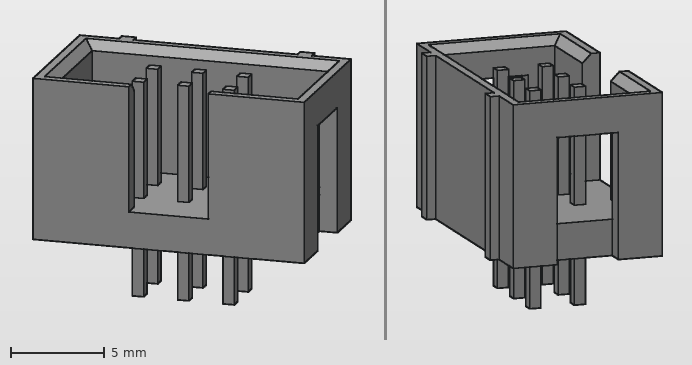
import cadquery as cq


length = 15.2
width = 8.5
height = 9.0
wall = 1.0
floor_thickness = 2.0
rim_chamfer = wall / 2

key_notch_width = 4.45
side_slot_width = 3.5
side_slot_height = 6.99

rib_width = 0.8
rib_depth = 0.5
rib_spacing = 10.0

pin_size = 0.64
pin_pitch = 2.54
pin_columns = 3
pin_rows = 2
pin_tail = 3.5
pin_top = height - rim_chamfer


def block(size_x, size_y, bottom, top, x=0, y=0):
    """Box centred on (x, y), spanning bottom to top in Z."""
    return (
        cq.Workplane("XY")
        .box(size_x, size_y, top - bottom, centered=(True, True, False))
        .translate((x, y, bottom))
    )


def make_housing():
    """Open box with a bevelled inner rim, key notch and end slots."""
    cavity_length = length - 2 * wall
    cavity_width = width - 2 * wall
    cavity = block(cavity_length, cavity_width, floor_thickness, height)
    rim_bevel = (
        cq.Workplane("XY", origin=(0, 0, height - rim_chamfer))
        .rect(cavity_length, cavity_width)
        .workplane(offset=rim_chamfer)
        .rect(cavity_length + 2 * rim_chamfer, cavity_width + 2 * rim_chamfer)
        .loft(ruled=True)
    )
    housing = block(length, width, 0, height).cut(cavity).cut(rim_bevel)

    front_wall_y = -(width - wall) / 2
    housing = housing.cut(block(key_notch_width, wall, floor_thickness, height, y=front_wall_y))

    for side in (-1, 1):
        end_wall_x = side * (length - wall) / 2
        housing = housing.cut(block(wall, side_slot_width, 0, side_slot_height, x=end_wall_x))
    return housing


def add_ribs(body):
    """Full-height polarising ribs on the back wall."""
    rib_y = (width + rib_depth) / 2
    for side in (-1, 1):
        body = body.union(block(rib_width, rib_depth, 0, height, x=side * rib_spacing / 2, y=rib_y))
    return body


def add_pins(body):
    """Square pins passing through the floor."""
    for column in range(pin_columns):
        for row in range(pin_rows):
            x = (column - (pin_columns - 1) / 2) * pin_pitch
            y = (row - (pin_rows - 1) / 2) * pin_pitch
            body = body.union(block(pin_size, pin_size, -pin_tail, pin_top, x=x, y=y))
    return body


result = add_pins(add_ribs(make_housing()))